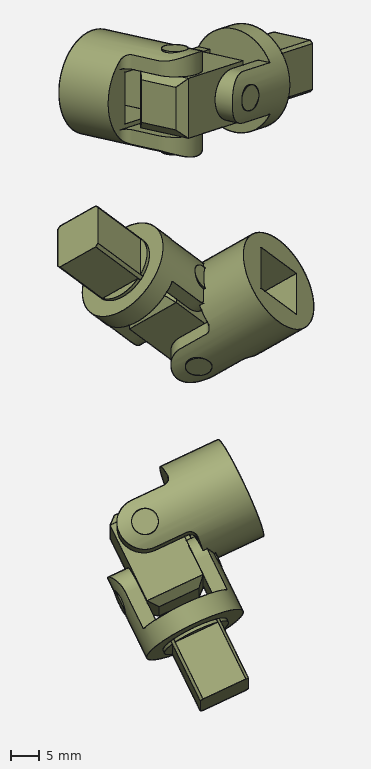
import cadquery as cq


body_diameter = 19.05
body_radius = body_diameter / 2
arm_width = body_diameter / 2
arm_tip_radius = arm_width / 2
arm_tip_offset = 0.25
arm_gap = 11.1
pin_diameter = 4.75
pin_spacing = 9.5
square_size = body_diameter / 2

socket_back_reach = 18.8
socket_body_length = 11.35
socket_fillet = 1.5
socket_back_x = -socket_back_reach
socket_front_x = socket_back_x + socket_body_length

overall_length = 42.1
disc_thickness = 4.0
disc_inner_reach = 7.0
collar_diameter = 12.65
collar_height = 0.65
drive_chamfer = 0.55
disc_inner_y = pin_spacing + disc_inner_reach
disc_outer_y = disc_inner_y + disc_thickness
drive_end_y = overall_length - body_radius

block_width = 11.05
block_length = 18.4
block_chamfer = 1.6


def cylinder_along_y(diameter, start_y, end_y):
    """Cylinder about the Y axis."""
    plane = cq.Plane(origin=(0, start_y, 0), xDir=(1, 0, 0), normal=(0, 1, 0))
    return cq.Workplane(plane).circle(diameter / 2).extrude(end_y - start_y)


def make_pin(direction, centre):
    """Pin as long as the body diameter, centred on a point."""
    axis = cq.Vector(*direction)
    start = cq.Vector(*centre) - axis * body_radius
    return cq.Workplane(cq.Solid.makeCylinder(pin_diameter / 2, body_diameter, start, axis))


def make_socket_yoke(socket_pin, drive_yoke, drive_pin):
    """Round body with a square socket and two round-ended arms."""
    outline = (
        cq.Workplane("XY")
        .moveTo(socket_back_x, -body_radius)
        .lineTo(socket_front_x, -body_radius)
        .lineTo(socket_front_x, -arm_tip_radius - socket_fillet)
        .radiusArc((socket_front_x + socket_fillet, -arm_tip_radius), socket_fillet)
        .lineTo(arm_tip_offset, -arm_tip_radius)
        .threePointArc((arm_tip_offset + arm_tip_radius, 0), (arm_tip_offset, arm_tip_radius))
        .lineTo(socket_front_x + socket_fillet, arm_tip_radius)
        .radiusArc((socket_front_x, arm_tip_radius + socket_fillet), socket_fillet)
        .lineTo(socket_front_x, body_radius)
        .lineTo(socket_back_x, body_radius)
        .close()
        .extrude(body_radius, both=True)
    )
    arm_tip_x = arm_tip_offset + arm_tip_radius
    round_bar = (
        cq.Workplane("YZ", origin=(socket_back_x, 0, 0))
        .circle(body_radius)
        .extrude(arm_tip_x - socket_back_x)
    )
    arm_slot = cq.Workplane("XY").box(
        arm_tip_x - socket_front_x, body_diameter, arm_gap, centered=(False, True, True)
    ).translate((socket_front_x, 0, 0))
    square_hole = cq.Workplane("XY").box(
        socket_body_length, square_size, square_size, centered=(False, True, True)
    ).translate((socket_back_x, 0, 0))
    yoke = round_bar.intersect(outline).cut(arm_slot).cut(square_hole).cut(socket_pin)
    return yoke.cut(drive_yoke).cut(drive_pin)


def make_drive_yoke(drive_pin):
    """Disc with two round-ended arms on one face and a square drive on the other."""
    tip_centre_y = pin_spacing - arm_tip_offset
    tip_end_y = tip_centre_y - arm_tip_radius
    arm_outline = (
        cq.Workplane("YZ")
        .moveTo(disc_inner_y, -arm_tip_radius)
        .lineTo(tip_centre_y, -arm_tip_radius)
        .threePointArc((tip_end_y, 0), (tip_centre_y, arm_tip_radius))
        .lineTo(disc_inner_y, arm_tip_radius)
        .close()
        .extrude(body_radius, both=True)
    )
    arm_slot = cq.Workplane("XY").box(
        arm_gap, disc_inner_y - tip_end_y, body_diameter, centered=(True, False, True)
    ).translate((0, tip_end_y, 0))
    arms = cylinder_along_y(body_diameter, tip_end_y, disc_inner_y).intersect(arm_outline).cut(arm_slot)
    disc = cylinder_along_y(body_diameter, disc_inner_y, disc_outer_y)
    collar = cylinder_along_y(collar_diameter, disc_outer_y, disc_outer_y + collar_height)
    square_drive = (
        cq.Workplane("XY")
        .box(square_size, drive_end_y - disc_outer_y, square_size, centered=(True, False, True))
        .edges("|Y")
        .chamfer(drive_chamfer)
        .translate((0, disc_outer_y, 0))
    )
    return disc.union(arms).union(collar).union(square_drive).cut(drive_pin)


def make_centre_block(socket_pin, drive_pin):
    """Square block with chamfered ends, bored for the two crossing pins."""
    return (
        cq.Workplane("XY")
        .box(block_width, block_length, block_width)
        .faces("<Y or >Y")
        .chamfer(block_chamfer)
        .translate((0, pin_spacing / 2, 0))
        .cut(socket_pin)
        .cut(drive_pin)
    )


socket_pin, drive_pin = [
    make_pin(direction, centre)
    for direction, centre in [((0, 0, 1), (0, 0, 0)), ((1, 0, 0), (0, pin_spacing, 0))]
]
drive_yoke = make_drive_yoke(drive_pin)
socket_yoke = make_socket_yoke(socket_pin, drive_yoke, drive_pin)
centre_block = make_centre_block(socket_pin, drive_pin)

bodies = [socket_yoke, drive_yoke, centre_block, socket_pin, drive_pin]
result = cq.Compound.makeCompound([body.solids().val() for body in bodies])